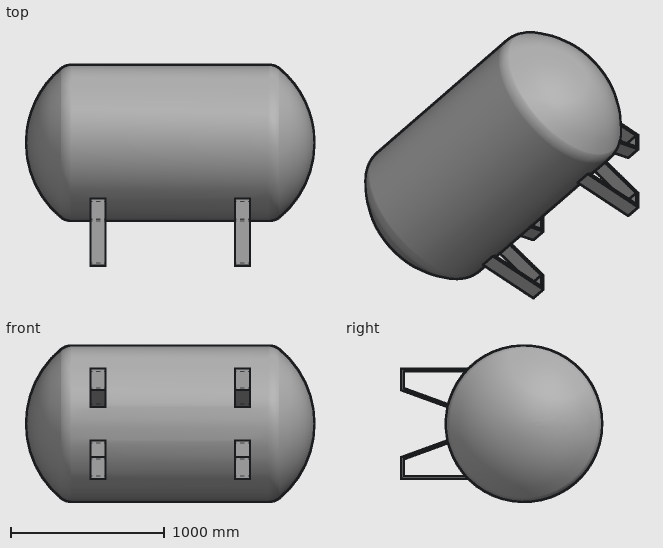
import cadquery as cq
import math

tank_length = 1880.0
tank_radius = 510.5
shell_half_length = 643.0
knuckle_radius = 107.0

leg_spacing = 940.0
leg_width = 100.0
bar_thickness = 19.0
foot_reach = 800.0
leg_outer_height = 360.0
foot_height = 141.0
strut_angle = math.radians(20)
root_reach = 320.0

tip = tank_length / 2
head_depth = tip - shell_half_length
knuckle_offset = tank_radius - knuckle_radius
crown_radius = (head_depth**2 + knuckle_offset**2 - knuckle_radius**2) / (
    2 * (head_depth - knuckle_radius)
)
crown_center = tip - crown_radius


def crown_point(angle):
    """Point on the crown at an angle from the tank axis."""
    return (
        crown_center + crown_radius * math.cos(angle),
        crown_radius * math.sin(angle),
    )


def knuckle_point(angle):
    """Point on the knuckle at an angle from the tank axis."""
    return (
        shell_half_length + knuckle_radius * math.cos(angle),
        knuckle_offset + knuckle_radius * math.sin(angle),
    )


def mirrored(point):
    return (-point[0], point[1])


def make_tank():
    """Revolve the half outline of shell and heads about the X axis."""
    blend_angle = math.atan2(knuckle_offset, shell_half_length - crown_center)
    crown_middle = crown_point(blend_angle / 2)
    blend = crown_point(blend_angle)
    knuckle_middle = knuckle_point((blend_angle + math.pi / 2) / 2)
    shell_end = (shell_half_length, tank_radius)
    return (
        cq.Workplane("XY")
        .moveTo(tip, 0)
        .threePointArc(crown_middle, blend)
        .threePointArc(knuckle_middle, shell_end)
        .lineTo(*mirrored(shell_end))
        .threePointArc(mirrored(knuckle_middle), mirrored(blend))
        .threePointArc(mirrored(crown_middle), (-tip, 0))
        .close()
        .revolve(360, (0, 0, 0), (1, 0, 0))
    )


def make_leg(x_center):
    """Upper leg: straight bar, upright foot plate and sloping strut."""
    foot_inner = foot_reach - bar_thickness
    foot_low = leg_outer_height - foot_height
    slope = math.tan(strut_angle)
    strut_root_low = foot_low - slope * (foot_reach - root_reach)
    strut_rise = bar_thickness / math.cos(strut_angle)
    strut_inner_corner = foot_low - slope * bar_thickness + strut_rise
    bar_low = leg_outer_height - bar_thickness
    return (
        cq.Workplane("YZ", origin=(x_center, 0, 0))
        .moveTo(-root_reach, leg_outer_height)
        .lineTo(-foot_reach, leg_outer_height)
        .lineTo(-foot_reach, foot_low)
        .lineTo(-root_reach, strut_root_low)
        .lineTo(-root_reach, strut_root_low + strut_rise)
        .lineTo(-foot_inner, strut_inner_corner)
        .lineTo(-foot_inner, bar_low)
        .lineTo(-root_reach, bar_low)
        .close()
        .extrude(leg_width / 2, both=True)
    )


result = make_tank()
for x_center in (-leg_spacing / 2, leg_spacing / 2):
    upper_leg = make_leg(x_center)
    result = result.union(upper_leg).union(upper_leg.mirror("XY"))